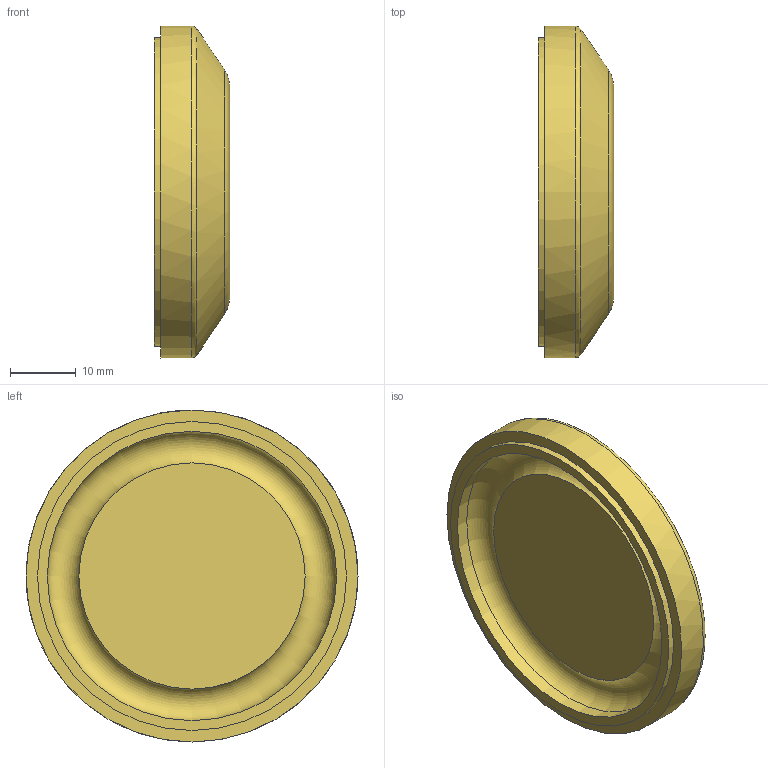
import cadquery as cq
import math

total_length = 11.5
rim_radius = 25.25
spigot_radius = 23.5
spigot_length = 1.0

cone_start = 6.2
cone_half_angle = math.radians(56)
cone_end_radius = rim_radius - (total_length - cone_start) * math.tan(cone_half_angle)
rim_edge_fillet = 1.0
end_face_fillet = 5.0

recess_radius = 22.0
recess_wall_depth = 2.0
floor_depth = 3.0
groove_radius = 2.5
groove_centre_radius = recess_radius - groove_radius
floor_step = floor_depth - recess_wall_depth
floor_radius = groove_centre_radius - math.sqrt(groove_radius**2 - floor_step**2)


def revolve_about_x(profile):
    """Close a half outline that starts at the origin and turn it into a solid about X."""
    return profile.close().revolve(360, (0, 0, 0), (1, 0, 0))


def make_body():
    profile = (
        cq.Workplane("XZ")
        .lineTo(0, spigot_radius)
        .lineTo(spigot_length, spigot_radius)
        .lineTo(spigot_length, rim_radius)
        .lineTo(cone_start, rim_radius)
        .lineTo(total_length, cone_end_radius)
        .lineTo(total_length, 0)
    )
    body = revolve_about_x(profile)
    body = body.faces(">X").edges().fillet(end_face_fillet)
    largest_circles = cq.selectors.RadiusNthSelector(-1)
    return body.edges(largest_circles).edges(">X").fillet(rim_edge_fillet)


def make_recess():
    groove_bottom = (recess_wall_depth + groove_radius, groove_centre_radius)
    profile = (
        cq.Workplane("XZ")
        .lineTo(0, recess_radius)
        .lineTo(recess_wall_depth, recess_radius)
        .threePointArc(groove_bottom, (floor_depth, floor_radius))
        .lineTo(floor_depth, 0)
    )
    return revolve_about_x(profile)


result = make_body().cut(make_recess())